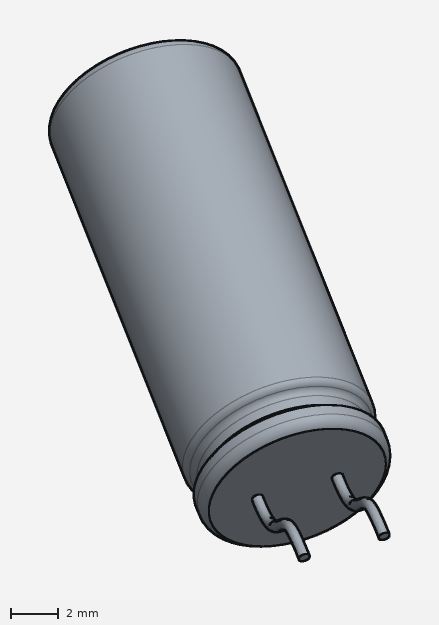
import cadquery as cq

total_length = 27.35
total_height = 8.7
can_length = 21.0
can_diameter = 8.5
can_radius = can_diameter / 2
base_fillet = 0.5

groove_radius = 3.83
shoulder_start = 2.52
groove_start = 1.85
groove_end = 1.37
rim_start = 1.0
rim_round_length = 0.52
rim_face_radius = 3.9
rim_round_radius = 0.6

lead_radius = 0.25
lead_pitch = 3.53
lead_rise = total_height - can_radius - lead_radius
lower_bend_run = 1.95
lower_bend_rise = 0.68
upper_bend_run = 2.25
upper_bend_rise = 0.65

base_x = -total_length / 2
can_end_x = base_x + can_length
lead_end_x = base_x + total_length


def make_can():
    """Revolve the can, with its S-shaped shoulder, groove and rounded rim."""
    shoulder_x = can_end_x - shoulder_start
    groove_x = can_end_x - groove_start
    shoulder_middle = ((shoulder_x + groove_x) / 2, (can_radius + groove_radius) / 2)
    profile = (
        cq.Workplane("XY")
        .moveTo(base_x, 0)
        .lineTo(base_x, can_radius - base_fillet)
        .radiusArc((base_x + base_fillet, can_radius), base_fillet)
        .lineTo(shoulder_x, can_radius)
        .tangentArcPoint(shoulder_middle, relative=False)
        .tangentArcPoint((groove_x, groove_radius), relative=False)
        .lineTo(can_end_x - groove_end, groove_radius)
        .lineTo(can_end_x - rim_start, can_radius)
        .lineTo(can_end_x - rim_round_length, can_radius)
        .radiusArc((can_end_x, rim_face_radius), rim_round_radius)
        .lineTo(can_end_x, 0)
        .close()
    )
    return profile.revolve(360, (0, 0, 0), (1, 0, 0))


def make_lead(y):
    """Sweep a round wire along an S-bend that starts and ends parallel to X."""
    bend_points = [
        (can_end_x, 0),
        (can_end_x + lower_bend_run, lower_bend_rise),
        (lead_end_x - upper_bend_run, lead_rise - upper_bend_rise),
        (lead_end_x, lead_rise),
    ]
    path = cq.Workplane("XZ", origin=(0, y, 0)).spline(bend_points, tangents=[(1, 0), (1, 0)])
    section = cq.Workplane("YZ", origin=(can_end_x, y, 0)).circle(lead_radius)
    return section.sweep(path)


result = make_can()
for side in (-1, 1):
    result = result.union(make_lead(side * lead_pitch / 2))